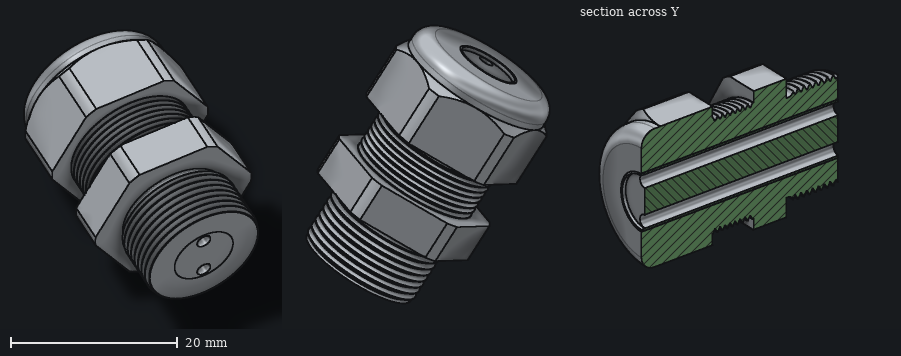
import cadquery as cq
import math


total_length = 29.97
dome_end = 2.85
nut_end = 10.87
flange_start = 17.06
flange_end = 22.10

across_flats = 19.054
across_corners = 21.14
corner_radius = across_corners / 2

dome_radius = across_flats / 2
dome_fillet = 2.03

middle_pitch = 0.762
middle_crest_radius = 8.0
entry_pitch = 0.889
entry_crest_radius = 7.60
tan_flank = math.tan(math.radians(30))

neck_radius = 6.86
neck_length = 0.20
relief_end = 23.13
relief_end_radius = 7.47

tip_radius = 7.30
tip_chamfer = 0.15

insert_radius = 3.96
recess_radius = 3.69
recess_depth = 0.51
wire_hole_diameter = 1.8
wire_hole_offset = 2.76


def crest_flat(pitch):
    return pitch / 8


def thread_depth(pitch):
    return (pitch - crest_flat(pitch)) / 2 / tan_flank


def cylinder(start, end, radius):
    return cq.Workplane("YZ", origin=(start, 0, 0)).circle(radius).extrude(end - start)


def revolve_about_x(profile):
    return profile.close().revolve(360, (0, 0, 0), (1, 0, 0))


def hexagon_bar(start, end):
    """Hexagonal bar with its corners rounded by the corner cylinder."""
    corner_to_corner = across_flats / math.cos(math.radians(30))
    bar = cq.Workplane("YZ", origin=(start, 0, 0)).polygon(6, corner_to_corner).extrude(end - start)
    return bar.intersect(cylinder(start, end, corner_radius))


def ring_thread(start, pitches, pitch, crest_radius):
    """Threaded rod whose crests are centred at the start and at each whole pitch after it."""
    half_flat = crest_flat(pitch) / 2
    root_radius = crest_radius - thread_depth(pitch)
    end = start + pitches * pitch
    profile = cq.Workplane("XZ").moveTo(start, 0).lineTo(start, crest_radius)
    for index in range(pitches):
        crest = start + index * pitch
        profile = profile.lineTo(crest + half_flat, crest_radius)
        profile = profile.lineTo(crest + pitch / 2, root_radius)
        profile = profile.lineTo(crest + pitch - half_flat, crest_radius)
    return revolve_about_x(profile.lineTo(end, crest_radius).lineTo(end, 0))


def dome_nut():
    """Hex nut with a 45 degree chamfer running up to a round, filleted dome."""
    chamfer_end = dome_end + corner_radius - dome_radius
    chamfer_limit = revolve_about_x(
        cq.Workplane("XZ")
        .moveTo(dome_end, 0)
        .lineTo(dome_end, dome_radius)
        .lineTo(chamfer_end, corner_radius)
        .lineTo(nut_end, corner_radius)
        .lineTo(nut_end, 0)
    )
    dome = cylinder(0, dome_end, dome_radius).faces("<X").edges().fillet(dome_fillet)
    return hexagon_bar(dome_end, nut_end).intersect(chamfer_limit).union(dome)


def middle_thread():
    """Thread between the nut and the flange, its last ring buried in the flange."""
    pitches = math.ceil((flange_start - nut_end) / middle_pitch)
    return ring_thread(nut_end, pitches, middle_pitch, middle_crest_radius)


def entry_thread():
    """Entry thread with a curved relief next to the flange and a chamfered tip."""
    pitches = math.ceil((total_length - flange_end) / entry_pitch)
    thread = ring_thread(flange_end, pitches, entry_pitch, entry_crest_radius)
    envelope = revolve_about_x(
        cq.Workplane("XZ")
        .moveTo(flange_end, 0)
        .lineTo(flange_end, neck_radius)
        .lineTo(flange_end + neck_length, neck_radius)
        .tangentArcPoint((relief_end, relief_end_radius), relative=False)
        .lineTo(relief_end, entry_crest_radius)
        .lineTo(total_length - tip_chamfer, entry_crest_radius)
        .lineTo(total_length, tip_radius)
        .lineTo(total_length, 0)
    )
    return thread.intersect(envelope)


def make_housing():
    """Dome nut, threads and hex flange in one piece, bored through for the insert."""
    flange = hexagon_bar(flange_start, flange_end)
    solid = dome_nut().union(middle_thread()).union(flange).union(entry_thread())
    return solid.cut(cylinder(0, total_length, insert_radius))


def make_insert():
    """Sealing plug with a shallow front recess and two wire holes running through it."""
    plug = cylinder(0, total_length, insert_radius).cut(cylinder(0, recess_depth, recess_radius))
    hole_centres = [(0, -wire_hole_offset), (0, wire_hole_offset)]
    wire_holes = (
        cq.Workplane("YZ").pushPoints(hole_centres).circle(wire_hole_diameter / 2).extrude(total_length)
    )
    return plug.cut(wire_holes)


housing = make_housing()
insert = make_insert()
result = cq.Compound.makeCompound([housing.val(), insert.val()])